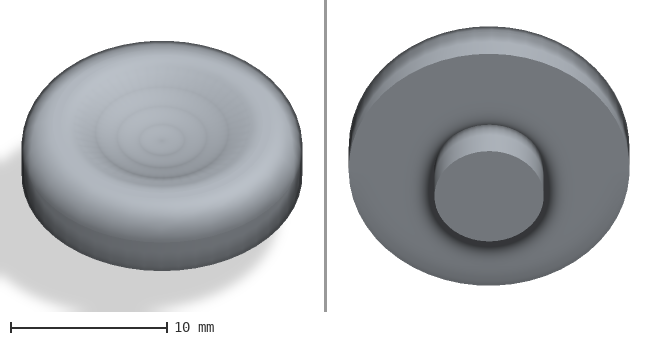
import cadquery as cq
import math

head_diameter = 18.0
head_height = 4.5
stem_diameter = 7.0
stem_length = 3.0
edge_radius = 2.0
dish_radius = 6.0
dish_depth = 1.5

head_radius = head_diameter / 2
top = stem_length + head_height

sphere_radius = (dish_radius**2 + dish_depth**2) / (2 * dish_depth)
sphere_center_z = top - dish_depth + sphere_radius

rim_center_z = top - edge_radius
center_distance = sphere_radius + edge_radius
rim_center_x = math.sqrt(center_distance**2 - (sphere_center_z - rim_center_z)**2)
rim_slope = math.asin(rim_center_x / center_distance)


def circle_point(center_x, center_z, radius, angle):
    """Point on a circle, with the angle measured from straight up toward +X."""
    return (center_x + radius * math.sin(angle), center_z + radius * math.cos(angle))


def rim_point(angle):
    return circle_point(rim_center_x, rim_center_z, edge_radius, angle)


def dish_point(angle):
    """Point on the dish, with the angle measured from its bottom."""
    return circle_point(0, sphere_center_z, sphere_radius, math.pi - angle)


shoulder_center_x = head_radius - edge_radius
shoulder_middle = circle_point(shoulder_center_x, rim_center_z, edge_radius, math.pi / 4)

half_section = (
    cq.Workplane("XZ")
    .lineTo(stem_diameter / 2, 0)
    .lineTo(stem_diameter / 2, stem_length)
    .lineTo(head_radius, stem_length)
    .lineTo(head_radius, rim_center_z)
    .threePointArc(shoulder_middle, (shoulder_center_x, top))
    .lineTo(rim_center_x, top)
    .threePointArc(rim_point(-rim_slope / 2), rim_point(-rim_slope))
    .threePointArc(dish_point(rim_slope / 2), dish_point(0))
    .close()
)
result = half_section.revolve(360, (0, 0, 0), (0, 1, 0))